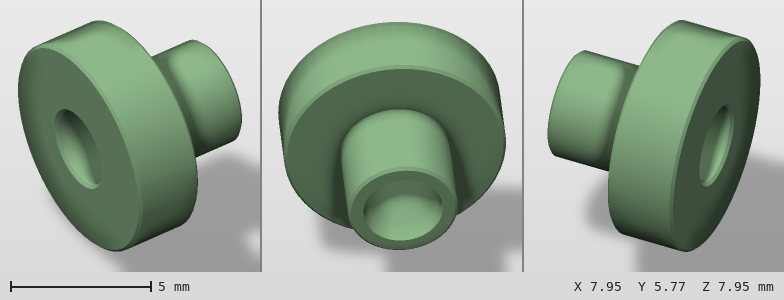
import cadquery as cq

flange_diameter = 7.95
flange_thickness = 2.545
shank_diameter = 3.935
overall_length = 5.77
bore_diameter = 2.855
edge_chamfer = 0.1


def cylinder_along_y(diameter, length):
    """Cylinder on the Y axis, from Y = 0 towards +Y."""
    return cq.Workplane("XZ").circle(diameter / 2).extrude(-length)


flange = cylinder_along_y(flange_diameter, flange_thickness).edges().chamfer(edge_chamfer)
shank = cylinder_along_y(shank_diameter, overall_length).faces(">Y").edges().chamfer(edge_chamfer)

bore = cylinder_along_y(bore_diameter, overall_length)
bored_body = flange.union(shank).cut(bore)
bore_mouth = bored_body.faces("<Y").edges(cq.selectors.RadiusNthSelector(0))
result = bore_mouth.chamfer(edge_chamfer)